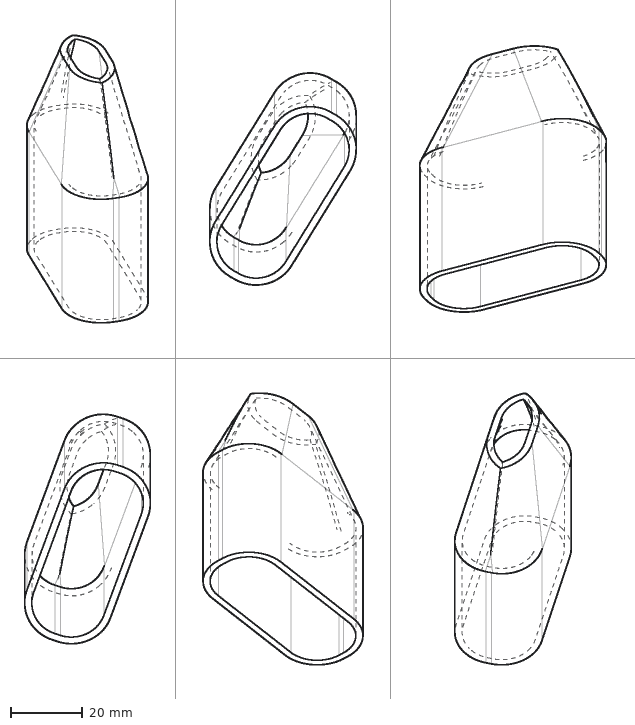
import cadquery as cq

length = 55.5
width = 25.0
height = 70.0
body_height = 40.05
wall = 2.0

corner_radius = 11.7
neck_corner_radius = 12.1

mouth_length = 30.95
mouth_width = 12.75

overlap = 28.0


def half_section(z, half_length, half_width):
    """Rectangle whose +Y side is half_width from the middle plane."""
    return (
        cq.Workplane("XY", origin=(0, (half_width - overlap) / 2, z))
        .rect(2 * half_length, half_width + overlap)
    )


def half_prism(low, high):
    """Ruled solid between two (z, half_length, half_width) sections, with rounded +Y corners."""
    wires = [half_section(*section).wires().val() for section in (low, high)]
    return cq.Workplane(cq.Solid.makeLoft(wires, True))


def rounded_prism(low, high, radius):
    """Overlap of two mirrored half solids; where the roundings meet they form a pointed end."""
    half = half_prism(low, high)
    half = half.faces(">Y").edges("not |X").fillet(radius)
    return half.intersect(half.mirror("XZ"))


def shape(inset):
    """Straight body and tapered neck, with every side moved inward by inset."""
    base = (0, length / 2 - inset, width / 2 - inset)
    shoulder = (body_height,) + base[1:]
    mouth = (height, mouth_length / 2 - inset, mouth_width / 2 - inset)
    body = rounded_prism(base, shoulder, corner_radius - inset)
    neck = rounded_prism(shoulder, mouth, neck_corner_radius - inset)
    return body.union(neck)


result = shape(0).cut(shape(wall))